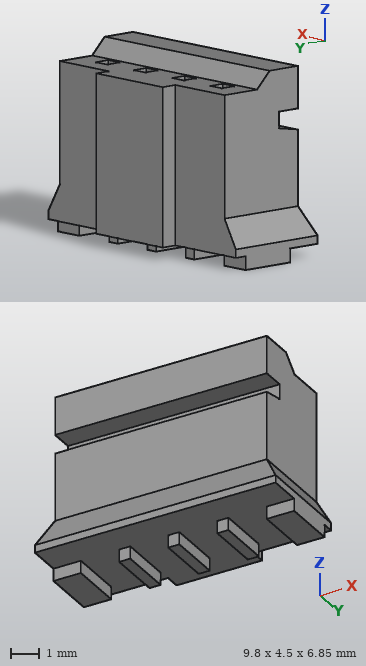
import cadquery as cq

total_width = 9.8
total_depth = 4.5
total_height = 6.85

body_width = 8.62
body_front = 0.4
body_back = 3.9
base_z = 0.5
shoulder_z = 6.25
ridge_back_top = 1.75
ridge_back_bottom = ridge_back_top + total_height - shoulder_z

groove_back = 1.3
groove_top = 5.32
groove_bottom_inner = 4.72
groove_bottom_outer = 4.57

skirt_rim_height = 0.3
skirt_flare_height = 1.02

rib_width = 3.48

contact_count = 4
pitch = 2.0
cavity_size = 0.6
cavity_front = 2.51
cavity_depth = 0.45
foot_front = 1.3
foot_back = 3.44
inner_foot_width = 0.45
end_foot_width = 1.12


def block(x_center, width, y_front, y_back, z_bottom, z_top):
    """Box centred on x_center between the given Y and Z limits."""
    return cq.Workplane("XY").box(
        width, y_back - y_front, z_top - z_bottom, centered=(True, False, False)
    ).translate((x_center, y_front, z_bottom))


def make_body():
    """Stepped, grooved side profile extruded across the body width."""
    profile = [
        (body_front, base_z),
        (body_front, groove_bottom_outer),
        (groove_back, groove_bottom_inner),
        (groove_back, groove_top),
        (body_front, groove_top),
        (body_front, total_height),
        (ridge_back_top, total_height),
        (ridge_back_bottom, shoulder_z),
        (body_back, shoulder_z),
        (body_back, base_z),
    ]
    return cq.Workplane("YZ").polyline(profile).close().extrude(body_width / 2, both=True)


def make_skirt():
    """Upright rim with a flare narrowing to the body on the front and both ends."""
    rim_top = base_z + skirt_rim_height
    rim = block(0, total_width, 0, body_back, base_z, rim_top)
    body_depth = body_back - body_front
    flare = (
        cq.Workplane("XY", origin=(0, body_back / 2, rim_top))
        .rect(total_width, body_back)
        .workplane(offset=skirt_flare_height)
        .center(0, body_front / 2)
        .rect(body_width, body_depth)
        .loft(ruled=True)
    )
    return rim.union(flare)


def make_feet():
    """One foot at each end and one between each pair of contacts."""
    end_x = (total_width - end_foot_width) / 2
    feet = block(-end_x, end_foot_width, foot_front, foot_back, 0, base_z)
    feet = feet.union(block(end_x, end_foot_width, foot_front, foot_back, 0, base_z))
    inner_count = contact_count - 1
    for i in range(inner_count):
        x = (i - (inner_count - 1) / 2) * pitch
        feet = feet.union(block(x, inner_foot_width, foot_front, foot_back, 0, base_z))
    return feet


rib = block(0, rib_width, body_back, total_depth, base_z, shoulder_z)
result = make_body().union(make_skirt()).union(rib).union(make_feet())

for i in range(contact_count):
    x = (i - (contact_count - 1) / 2) * pitch
    cavity = block(
        x, cavity_size, cavity_front, cavity_front + cavity_size,
        shoulder_z - cavity_depth, shoulder_z,
    )
    result = result.cut(cavity)